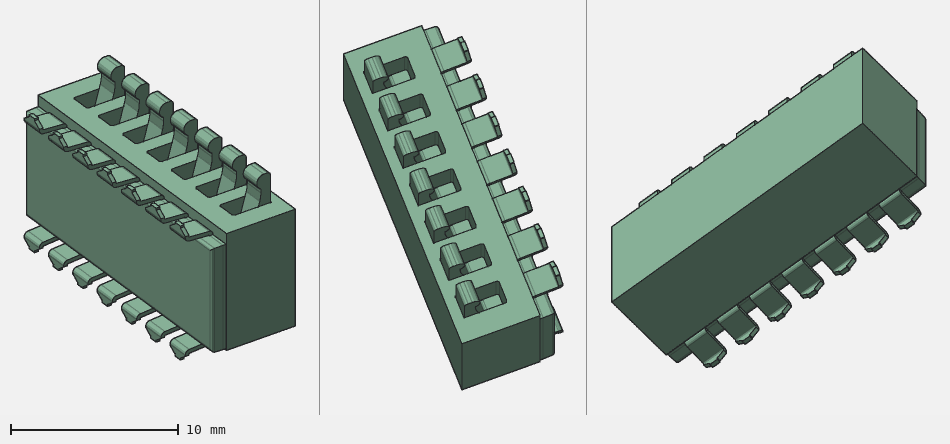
import cadquery as cq
import math


length = 19.7
housing_depth = 5.0
housing_height = 8.12

switch_count = 7
pitch = 2.55

base_inset = 0.05
base_height = 7.25
base_center_z = 3.72
base_rim_depth = 0.22
base_depth = 1.0
base_draft = 2.0
base_edge_radius = 0.2

slot_width = 1.48
slot_length = 2.78
slot_depth = 2.32
slot_back_wall = 0.7
slot_corner_radius = 0.15

lever_width = 1.42
lever_back_gap = 0.04
lever_height = 2.1
lever_back_radius = 0.24
nose_radius = 0.51
nose_center_out = 0.5
neck_out = 0.7
neck_bottom = 0.89
flare_start = 0.32
flare_angle = math.radians(16)
foot_radius = 0.24

lead_width = 1.6
lead_thickness = 0.28
lead_reach = 2.0
lead_tip_rise = 4.65
lead_root_rise = 3.45
lead_shoulder_rise = 3.92
lead_slope = math.radians(4)
lead_tip_width = 0.6
lead_tip_length = 0.14
lead_taper_rise = 4.15
bend_inner_radius = 0.04
bend_outer_radius = bend_inner_radius + lead_thickness

switch_positions = [(i - (switch_count - 1) / 2) * pitch for i in range(switch_count)]


def make_housing():
    return cq.Workplane("XY").box(length, housing_depth, housing_height, centered=(True, False, False))


def make_base():
    """Straight rim against the housing, then a slightly drafted plate with a rounded front edge."""
    width = length - 2 * base_inset
    front = cq.Workplane("XZ").center(0, base_center_z)
    rim = front.rect(width, base_height).extrude(base_rim_depth)
    plate = (
        front.workplane(offset=base_rim_depth)
        .rect(width, base_height)
        .extrude(base_depth - base_rim_depth, taper=base_draft)
        .faces("<Y")
        .edges()
        .fillet(base_edge_radius)
    )
    return rim.union(plate)


def make_slot(x):
    center_y = housing_depth - slot_back_wall - slot_length / 2
    return (
        cq.Workplane("XY", origin=(x, center_y, housing_height - slot_depth))
        .rect(slot_width, slot_length)
        .extrude(slot_depth)
        .edges("|Z and <Y")
        .fillet(slot_corner_radius)
    )


def make_lever(x):
    """Upright lever with a round nose, a narrow neck and a foot flaring into the slot floor."""
    lever_back_y = housing_depth - slot_back_wall - lever_back_gap
    nose_center_up = lever_height - nose_radius
    neck_top = nose_center_up - math.sqrt(nose_radius**2 - (neck_out - nose_center_out) ** 2)
    nose_mid_angle = math.radians(15)
    nose_mid = (
        nose_center_out + nose_radius * math.cos(nose_mid_angle),
        nose_center_up + nose_radius * math.sin(nose_mid_angle),
    )

    flare_radius = (neck_bottom - flare_start) / math.sin(flare_angle)

    def flare_arc(angle):
        return (
            neck_out + flare_radius * (1 - math.cos(angle)),
            neck_bottom - flare_radius * math.sin(angle),
        )

    flare_top = flare_arc(flare_angle)

    foot_center_up = foot_radius - slot_depth
    foot_start_up = foot_center_up - foot_radius * math.sin(flare_angle)
    foot_start_out = flare_top[0] + (flare_top[1] - foot_start_up) * math.tan(flare_angle)
    foot_center_out = foot_start_out + foot_radius * math.cos(flare_angle)

    outline = (
        cq.Workplane("YZ", origin=(x - lever_width / 2, lever_back_y, housing_height))
        .moveTo(0, -slot_depth)
        .lineTo(0, lever_height - lever_back_radius)
        .radiusArc((-lever_back_radius, lever_height), -lever_back_radius)
        .lineTo(-nose_center_out, lever_height)
        .threePointArc((-nose_mid[0], nose_mid[1]), (-neck_out, neck_top))
        .lineTo(-neck_out, neck_bottom)
        .threePointArc(
            (-flare_arc(flare_angle / 2)[0], flare_arc(flare_angle / 2)[1]),
            (-flare_top[0], flare_top[1]),
        )
        .lineTo(-foot_start_out, foot_start_up)
        .tangentArcPoint((-foot_center_out, -slot_depth), relative=False)
        .close()
    )
    return outline.extrude(lever_width)


def make_upper_lead(x):
    """Bent strip: up the base, out along a gentle slope, then up to a narrowed tip."""
    tan_slope = math.tan(lead_slope)
    arm_thickness = lead_thickness / math.cos(lead_slope)
    leg_inner = lead_reach - lead_thickness
    bottom_rise = lead_shoulder_rise - arm_thickness
    outline = [
        (0, lead_root_rise),
        (0, lead_shoulder_rise),
        (leg_inner, lead_shoulder_rise + leg_inner * tan_slope),
        (leg_inner, lead_tip_rise),
        (lead_reach, lead_tip_rise),
        (lead_reach, bottom_rise + lead_reach * tan_slope),
        (lead_thickness, bottom_rise + lead_thickness * tan_slope),
        (lead_thickness, lead_root_rise),
    ]

    def bend_at(solid, point, radius):
        corner = (x, -point[0], base_center_z + point[1])
        return solid.edges(cq.selectors.NearestToPointSelector(corner)).fillet(radius)

    strip = (
        cq.Workplane("YZ", origin=(x - lead_width / 2, 0, base_center_z))
        .polyline([(-out, rise) for out, rise in outline])
        .close()
        .extrude(lead_width)
    )
    strip = bend_at(strip, outline[1], lead_thickness)
    strip = bend_at(strip, outline[2], bend_inner_radius)
    strip = bend_at(strip, outline[5], bend_outer_radius)

    neck_rise = lead_tip_rise - lead_tip_length
    silhouette = (
        cq.Workplane("XZ", origin=(x, 0, base_center_z))
        .polyline([
            (-lead_width / 2, lead_root_rise),
            (-lead_width / 2, lead_taper_rise),
            (-lead_tip_width / 2, neck_rise),
            (-lead_tip_width / 2, lead_tip_rise),
            (lead_tip_width / 2, lead_tip_rise),
            (lead_tip_width / 2, neck_rise),
            (lead_width / 2, lead_taper_rise),
            (lead_width / 2, lead_root_rise),
        ])
        .close()
        .extrude(lead_reach)
    )
    return strip.intersect(silhouette)


result = make_housing().union(make_base())
for x in switch_positions:
    upper_lead = make_upper_lead(x)
    lower_lead = upper_lead.mirror("XY", (0, 0, base_center_z))
    result = result.cut(make_slot(x)).union(make_lever(x)).union(upper_lead).union(lower_lead)